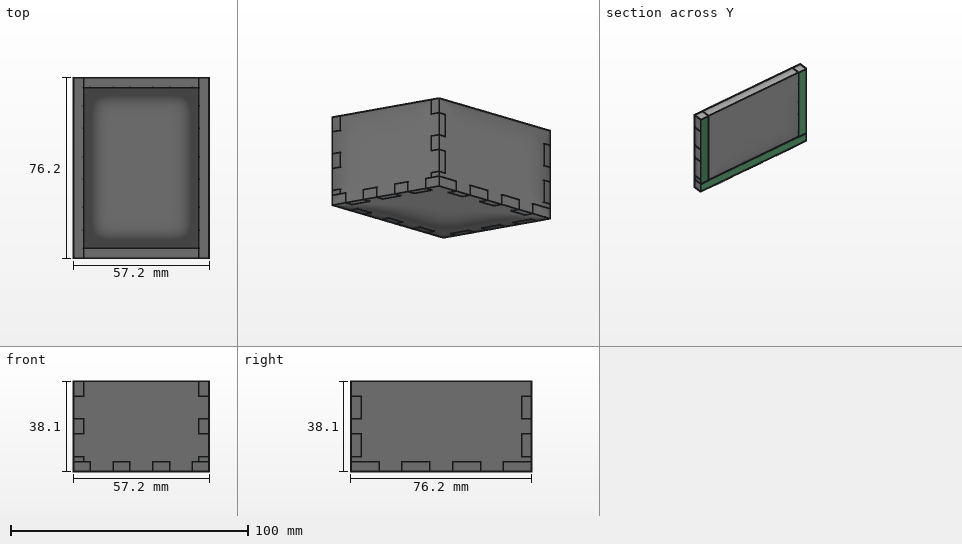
import cadquery as cq

BOX_X = 57.15
BOX_Y = 76.2
BOX_Z = 38.1
THICKNESS = 4.3
TAB_WIDTH = 9.5
BOTTOM_TABS = 3
CORNER_TABS = 2

SIDE_X = (BOX_X - THICKNESS) / 2
END_Y = (BOX_Y - THICKNESS) / 2

INNER_X = BOX_X - 2 * THICKNESS
WALL_Z = BOX_Z - THICKNESS
WALL_CENTRE_Z = THICKNESS + WALL_Z / 2
FLOOR_CENTRE_Z = THICKNESS / 2


def block(size, centre):
    return cq.Workplane("XY").box(*size).translate(centre)


def tab_centres(edge_length, count):
    """Tab centres, measured from the middle of an edge, with equal spaces between and outside the tabs."""
    space = (edge_length - count * TAB_WIDTH) / (count + 1)
    pitch = TAB_WIDTH + space
    return [(i - (count - 1) / 2) * pitch for i in range(count)]


def end_bottom_tabs(y):
    """Tabs along the bottom edge of the end panel at y."""
    size = (TAB_WIDTH, THICKNESS, THICKNESS)
    return [block(size, (x, y, FLOOR_CENTRE_Z)) for x in tab_centres(BOX_X, BOTTOM_TABS)]


def side_bottom_tabs(x):
    """Tabs along the bottom edge of the side panel at x."""
    size = (THICKNESS, TAB_WIDTH, THICKNESS)
    return [block(size, (x, y, FLOOR_CENTRE_Z)) for y in tab_centres(BOX_Y, BOTTOM_TABS)]


def corner_tabs(x, y):
    """Tabs up the vertical corner where the side panel at x meets the end panel at y."""
    size = (THICKNESS, THICKNESS, TAB_WIDTH)
    return [block(size, (x, y, BOX_Z / 2 + z)) for z in tab_centres(BOX_Z, CORNER_TABS)]


def make_floor():
    """Full-size plate, notched on all four edges for the wall tabs."""
    floor = block((BOX_X, BOX_Y, THICKNESS), (0, 0, FLOOR_CENTRE_Z))
    for side in (-1, 1):
        for tab in end_bottom_tabs(side * END_Y) + side_bottom_tabs(side * SIDE_X):
            floor = floor.cut(tab)
    return floor


def make_end_panel(y):
    """Panel between the side panels, with tabs on its bottom and both vertical edges."""
    panel = block((INNER_X, THICKNESS, WALL_Z), (0, y, WALL_CENTRE_Z))
    for tab in end_bottom_tabs(y) + corner_tabs(-SIDE_X, y) + corner_tabs(SIDE_X, y):
        panel = panel.union(tab)
    return panel


def make_side_panel(x):
    """Full-length panel with bottom tabs, notched at both ends for the end panel tabs."""
    panel = block((THICKNESS, BOX_Y, WALL_Z), (x, 0, WALL_CENTRE_Z))
    for tab in side_bottom_tabs(x):
        panel = panel.union(tab)
    for tab in corner_tabs(x, -END_Y) + corner_tabs(x, END_Y):
        panel = panel.cut(tab)
    return panel


floor = make_floor()
end_panels = [make_end_panel(side * END_Y) for side in (-1, 1)]
side_panels = [make_side_panel(side * SIDE_X) for side in (-1, 1)]

result = cq.Compound.makeCompound([panel.val() for panel in [floor, *end_panels, *side_panels]])